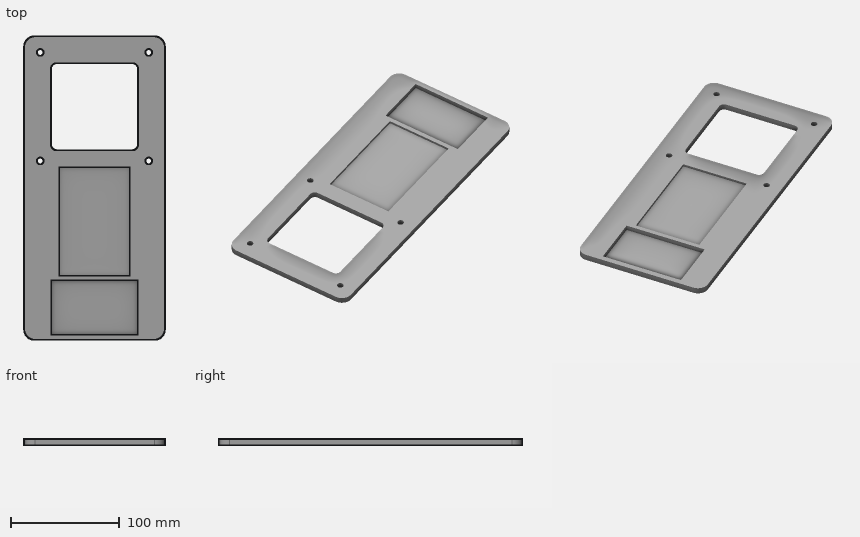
import cadquery as cq

plate_width = 130.0
plate_length = 280.0
plate_thickness = 6.0
plate_corner_radius = 10.0

window_size = 80.0
window_corner_radius = 5.0
window_edge_gap = 25.0
hole_diameter = 6.0
hole_spacing = 100.0

upper_pocket_width = 65.0
upper_pocket_length = 100.0
upper_pocket_depth = 2.5
lower_pocket_width = window_size
lower_pocket_length = 50.0
lower_pocket_depth = 5.0
lower_pocket_edge_gap = 5.0
pocket_gap = 4.0

window_y = plate_length / 2 - window_edge_gap - window_size / 2
lower_pocket_y = -plate_length / 2 + lower_pocket_edge_gap + lower_pocket_length / 2
upper_pocket_y = lower_pocket_y + lower_pocket_length / 2 + pocket_gap + upper_pocket_length / 2


def rounded_block(width, length, corner_radius, center_y):
    """Block of full plate thickness with rounded vertical edges."""
    block = cq.Workplane("XY").center(0, center_y).rect(width, length).extrude(plate_thickness)
    return block.edges("|Z").fillet(corner_radius)


def screw_holes():
    """Cylinders for the four through holes, centred on the window."""
    return (
        cq.Workplane("XY")
        .center(0, window_y)
        .rect(hole_spacing, hole_spacing, forConstruction=True)
        .vertices()
        .circle(hole_diameter / 2)
        .extrude(plate_thickness)
    )


def pocket(width, length, depth, center_y):
    """Sharp-cornered block reaching down from the top face."""
    top_face = cq.Workplane("XY").workplane(offset=plate_thickness)
    return top_face.center(0, center_y).rect(width, length).extrude(-depth)


plate = rounded_block(plate_width, plate_length, plate_corner_radius, 0)
plate = plate.cut(rounded_block(window_size, window_size, window_corner_radius, window_y))
plate = plate.cut(screw_holes())
plate = plate.cut(pocket(upper_pocket_width, upper_pocket_length, upper_pocket_depth, upper_pocket_y))
plate = plate.cut(pocket(lower_pocket_width, lower_pocket_length, lower_pocket_depth, lower_pocket_y))

result = plate